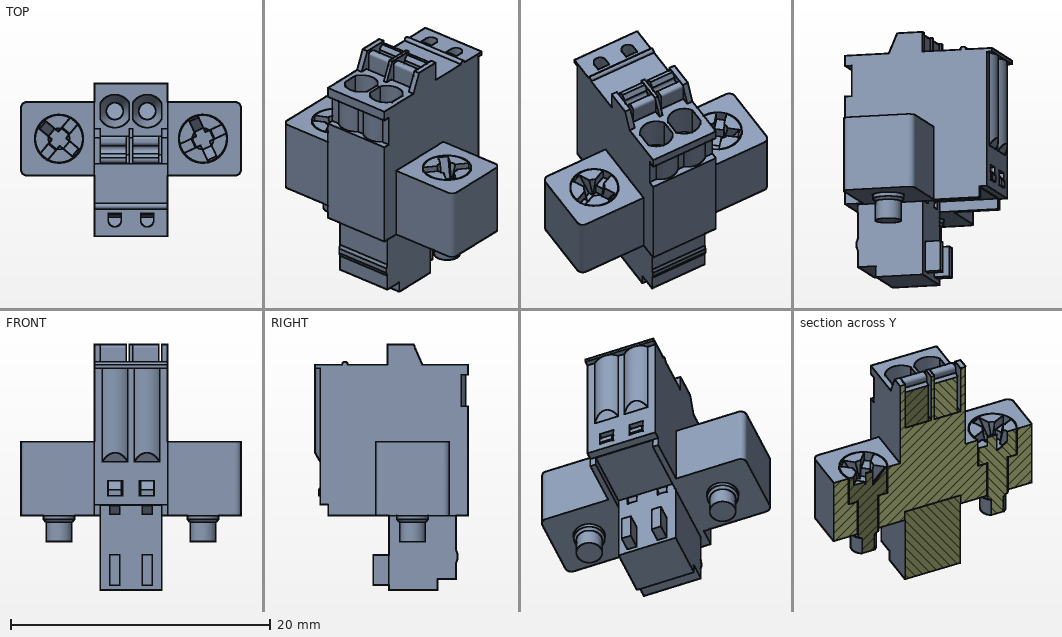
import cadquery as cq


POLE_PITCH = 2.5
POLE_XS = (-POLE_PITCH / 2, POLE_PITCH / 2)

HOUSING_WIDTH = 5.65
HOUSING_TOP = 11.65
BACK_Y = 4.28
FRONT_LIP_Y = -7.52
FRONT_Y = -7.12
LIP_THICKNESS = 0.28
STEP_Y = -6.5
STEP_HEIGHT = 0.85
BACK_NOTCH_Y = 3.74
BACK_NOTCH_BOTTOM = 8.45
BACK_NOTCH_TOP = 10.85

FIN_TOP = 13.2
FIN_FRONT_Y = -1.94
FIN_BACK_TOP_Y = 0.08
FIN_BACK_FOOT_Y = 0.76
LEVER_BAY_WIDTH = 2.22
LEVER_POCKET_BACK_Y = 0.18
LEVER_POCKET_FLOOR = 9.0
POCKET_RAMP_Y = -1.22
POCKET_RAMP_RISE = 0.3

COLUMN_PITCH = 2.45
COLUMN_XS = (-COLUMN_PITCH / 2, COLUMN_PITCH / 2)
COLUMN_WIDTH = 1.95
COLUMN_BOTTOM = 4.15
COLUMN_TAPER_HEIGHT = 0.7
BACK_COLUMN_RISE = 0.38

TOP_RIB_Y = -5.21
TOP_RIB_RADIUS = 0.22

WIRE_Y = 2.13
FUNNEL_DIAMETER = 2.55
WIRE_DIAMETER = 1.3
FUNNEL_STRAIGHT_DEPTH = 2.8
FUNNEL_TAPER_DEPTH = 1.5
WIRE_HOLE_FLOOR = 6.0

TEST_SLOT_WIDTH = 1.0
TEST_SLOT_BACK_Y = -5.74
TEST_SLOT_FRONT_Y = -6.79
TEST_SLOT_LEDGE_Y = -5.87
TEST_SLOT_VALLEY_Y = -6.04
TEST_SLOT_LEDGE_Z = 8.2
TEST_SLOT_VALLEY_Z = 7.8
TEST_SLOT_FLOOR_RISE = 0.15

WINDOW_WIDTH = 1.15
WINDOW_BOTTOM = 1.52
WINDOW_TOP = 2.68
WINDOW_DEPTH = 0.6

OVERALL_WIDTH = 17.0
FLANGE_SIZE = 5.7
FLANGE_RADIUS = 0.5

SCREW_X = 5.55
HEAD_DIAMETER = 3.65
HEAD_HEIGHT = 2.5
HEAD_BORE_DIAMETER = 3.75
COLLAR_DIAMETER = 2.4
COLLAR_BORE_DIAMETER = 2.45
COLLAR_END = -0.3
TAPER_END = -0.52
TIP_DIAMETER = 2.0
TIP_END = -2.0
DRIVE_SLOT_WIDTH = 0.77
DRIVE_SLOT_DEPTH = 0.8
CROSS_WIDTH = 0.77
CROSS_HALF_LENGTH = 1.65
WELL_FLOOR_HALF_LENGTH = 0.75
CORE_TOP_RADIUS = 0.82
CORE_BOTTOM_RADIUS = 0.55
CORE_DEPTH = 1.55
SCREW_ANGLES = {-SCREW_X: 50, SCREW_X: 25}

PLUG_WIDTH = 4.75
PLUG_TOP = 0.8
PLUG_BOTTOM = -5.75
PLUG_FRONT_Y = -1.83
PLUG_BACK_Y = 3.37
PLUG_STEP_Y = 1.93
PLUG_STEP_Z = -4.9
LATCH_RISE = 0.11
LATCH_BOTTOM = -3.65
LATCH_TOP = -2.65
LATCH_FLAT = 0.4
KEY_WIDTH = 0.77
KEY_FRONT_Y = -3.03
KEY_BOTTOM = -5.37
KEY_TOP = -3.03
RAMP_BOTTOM = 0.1
RAMP_TOP = 0.76

LEVER_WIDTH = 2.0
LEVER_FRONT_Y = -1.87
LEVER_EDGE_RADIUS = 0.28
LEVER_BACK_RADIUS = 0.22
GROOVE_EDGE_Y = -0.25
GROOVE_WALL_DROP = 0.6
GROOVE_DEPTH = 0.75
GROOVE_SLOPE_FOOT_Y = -1.14
GROOVE_SLOPE_DROP = 0.35
GROOVE_SLOPE_TOP_Y = -1.45

CONTACT_WIDTH = 1.0
CONTACT_FRONT_Y = -7.24
CONTACT_SHOULDER_Z = 2.0
CONTACT_BACK_Y = -5.5

CLAMP_WIDTH = 1.6
CLAMP_HALF_LENGTH = 0.8
CLAMP_BOTTOM = 4.5
CLAMP_CREASE_Y = 1.95
CLAMP_CREASE_Z = 5.8
CLAMP_BACK_Z = 5.5


def prism(points, width, x_center=0.0):
    """Solid with the given (y, z) outline, of the given width along X."""
    start = cq.Workplane("YZ", origin=(x_center - width / 2, 0, 0))
    return start.polyline(points).close().extrude(width)


def block(x_range, y_range, z_range):
    """Box between the given limits."""
    ranges = (x_range, y_range, z_range)
    size = [high - low for low, high in ranges]
    return cq.Workplane("XY").box(*size, centered=False).translate([low for low, high in ranges])


def disc(diameter, x, y, z_low, z_high):
    """Upright cylinder between two heights."""
    base = cq.Workplane("XY", origin=(x, y, z_low))
    return base.circle(diameter / 2).extrude(z_high - z_low)


def span(center, width):
    """Limits of a width centred on a place."""
    return center - width / 2, center + width / 2


def make_contact(x):
    slope_run = WINDOW_TOP - CONTACT_SHOULDER_Z
    outline = [
        (CONTACT_FRONT_Y, WINDOW_BOTTOM),
        (CONTACT_FRONT_Y, CONTACT_SHOULDER_Z),
        (CONTACT_FRONT_Y + slope_run, WINDOW_TOP),
        (CONTACT_BACK_Y, WINDOW_TOP),
        (CONTACT_BACK_Y, WINDOW_BOTTOM),
    ]
    return prism(outline, CONTACT_WIDTH, x)


def make_clamp(x):
    clamp_front_y = WIRE_Y - CLAMP_HALF_LENGTH
    clamp_back_y = WIRE_Y + CLAMP_HALF_LENGTH
    outline = [
        (clamp_front_y, CLAMP_BOTTOM),
        (clamp_front_y, WIRE_HOLE_FLOOR),
        (CLAMP_CREASE_Y, CLAMP_CREASE_Z),
        (clamp_back_y, CLAMP_BACK_Z),
        (clamp_back_y, CLAMP_BOTTOM),
    ]
    return prism(outline, CLAMP_WIDTH, x)


def make_lever(x):
    """Push lever that rests against the left wall of its bay; its top has a finger groove."""
    left_x = x - LEVER_BAY_WIDTH / 2
    groove_wall_y = GROOVE_EDGE_Y - LEVER_EDGE_RADIUS
    outline = (
        cq.Workplane("YZ", origin=(left_x, 0, 0))
        .moveTo(LEVER_FRONT_Y, LEVER_POCKET_FLOOR + POCKET_RAMP_RISE)
        .lineTo(LEVER_FRONT_Y, FIN_TOP - LEVER_EDGE_RADIUS)
        .radiusArc((LEVER_FRONT_Y + LEVER_EDGE_RADIUS, FIN_TOP), LEVER_EDGE_RADIUS)
        .lineTo(GROOVE_SLOPE_TOP_Y, FIN_TOP)
        .lineTo(GROOVE_SLOPE_FOOT_Y, FIN_TOP - GROOVE_SLOPE_DROP)
        .threePointArc(
            ((GROOVE_SLOPE_FOOT_Y + groove_wall_y) / 2, FIN_TOP - GROOVE_DEPTH),
            (groove_wall_y, FIN_TOP - GROOVE_WALL_DROP),
        )
        .lineTo(groove_wall_y, FIN_TOP - LEVER_EDGE_RADIUS)
        .radiusArc((GROOVE_EDGE_Y, FIN_TOP), LEVER_EDGE_RADIUS)
        .lineTo(LEVER_POCKET_BACK_Y - LEVER_BACK_RADIUS, FIN_TOP)
        .radiusArc((LEVER_POCKET_BACK_Y, FIN_TOP - LEVER_BACK_RADIUS), LEVER_BACK_RADIUS)
        .lineTo(LEVER_POCKET_BACK_Y, LEVER_POCKET_FLOOR)
        .lineTo(POCKET_RAMP_Y, LEVER_POCKET_FLOOR)
        .close()
    )
    return outline.extrude(LEVER_WIDTH)


def make_screw(x, angle):
    """Flange screw with a through slot, two sloping cross arms and a tapered core."""
    profile = [
        (0, FLANGE_SIZE),
        (HEAD_DIAMETER / 2, FLANGE_SIZE),
        (HEAD_DIAMETER / 2, FLANGE_SIZE - HEAD_HEIGHT),
        (COLLAR_DIAMETER / 2, FLANGE_SIZE - HEAD_HEIGHT),
        (COLLAR_DIAMETER / 2, COLLAR_END),
        (TIP_DIAMETER / 2, TAPER_END),
        (TIP_DIAMETER / 2, TIP_END),
        (0, TIP_END),
    ]
    screw = cq.Workplane("XZ").polyline(profile).close().revolve(360, (0, 0), (0, 1))

    slot_floor = FLANGE_SIZE - DRIVE_SLOT_DEPTH
    drive_slot = block(
        span(0, HEAD_DIAMETER), span(0, DRIVE_SLOT_WIDTH), (slot_floor, FLANGE_SIZE)
    )
    core_floor = FLANGE_SIZE - CORE_DEPTH
    well_outline = [
        (-WELL_FLOOR_HALF_LENGTH, core_floor),
        (WELL_FLOOR_HALF_LENGTH, core_floor),
        (CORE_TOP_RADIUS, slot_floor),
        (-CORE_TOP_RADIUS, slot_floor),
    ]
    slot_well = prism(well_outline, DRIVE_SLOT_WIDTH)
    slot_well = slot_well.rotate((0, 0, 0), (0, 0, 1), 90)
    cross_outline = [
        (-CROSS_HALF_LENGTH, FLANGE_SIZE),
        (CROSS_HALF_LENGTH, FLANGE_SIZE),
        (WELL_FLOOR_HALF_LENGTH, core_floor),
        (-WELL_FLOOR_HALF_LENGTH, core_floor),
    ]
    cross_arms = prism(cross_outline, CROSS_WIDTH)
    core_profile = [
        (0, core_floor),
        (CORE_BOTTOM_RADIUS, core_floor),
        (CORE_TOP_RADIUS, FLANGE_SIZE),
        (0, FLANGE_SIZE),
    ]
    core = cq.Workplane("XZ").polyline(core_profile).close().revolve(360, (0, 0), (0, 1))

    screw = screw.cut(drive_slot).cut(slot_well).cut(cross_arms).cut(core)
    return screw.rotate((0, 0, 0), (0, 0, 1), angle).translate((x, 0, 0))


def make_plug():
    latch_flat_low, latch_flat_high = span((LATCH_BOTTOM + LATCH_TOP) / 2, LATCH_FLAT)
    outline = [
        (PLUG_FRONT_Y, PLUG_TOP),
        (PLUG_FRONT_Y, PLUG_BOTTOM),
        (PLUG_STEP_Y, PLUG_BOTTOM),
        (PLUG_STEP_Y, PLUG_STEP_Z),
        (PLUG_BACK_Y, PLUG_STEP_Z),
        (PLUG_BACK_Y, LATCH_BOTTOM),
        (PLUG_BACK_Y + LATCH_RISE, latch_flat_low),
        (PLUG_BACK_Y + LATCH_RISE, latch_flat_high),
        (PLUG_BACK_Y, LATCH_TOP),
        (PLUG_BACK_Y, PLUG_TOP),
    ]
    plug = prism(outline, PLUG_WIDTH)
    ramp_depth = RAMP_TOP - RAMP_BOTTOM
    ramp_outline = [
        (PLUG_FRONT_Y, RAMP_TOP),
        (PLUG_FRONT_Y, RAMP_BOTTOM),
        (PLUG_FRONT_Y + ramp_depth, RAMP_BOTTOM),
    ]
    for x in POLE_XS:
        key = block(span(x, KEY_WIDTH), (KEY_FRONT_Y, PLUG_FRONT_Y), (KEY_BOTTOM, KEY_TOP))
        plug = plug.union(key).cut(prism(ramp_outline, KEY_WIDTH, x))
    return plug


def housing_core():
    outline = [
        (BACK_Y, 0),
        (BACK_Y, BACK_NOTCH_BOTTOM),
        (BACK_NOTCH_Y, BACK_NOTCH_BOTTOM),
        (BACK_NOTCH_Y, BACK_NOTCH_TOP),
        (BACK_Y, BACK_NOTCH_TOP),
        (BACK_Y, HOUSING_TOP),
        (FRONT_LIP_Y, HOUSING_TOP),
        (FRONT_LIP_Y, HOUSING_TOP - LIP_THICKNESS),
        (FRONT_Y, HOUSING_TOP - LIP_THICKNESS),
        (FRONT_Y, STEP_HEIGHT),
        (STEP_Y, STEP_HEIGHT),
        (STEP_Y, 0),
    ]
    core = prism(outline, HOUSING_WIDTH)
    top_rib = (
        cq.Workplane("YZ", origin=(-HOUSING_WIDTH / 2, TOP_RIB_Y, HOUSING_TOP))
        .circle(TOP_RIB_RADIUS)
        .extrude(HOUSING_WIDTH)
    )
    return core.union(top_rib)


def fins():
    """Two outer fins flush with the housing sides and one between the lever bays."""
    outline = [
        (FIN_FRONT_Y, HOUSING_TOP),
        (FIN_FRONT_Y, FIN_TOP),
        (FIN_BACK_TOP_Y, FIN_TOP),
        (FIN_BACK_FOOT_Y, HOUSING_TOP),
    ]
    outer_width = (HOUSING_WIDTH - POLE_PITCH - LEVER_BAY_WIDTH) / 2
    outer_x = (HOUSING_WIDTH - outer_width) / 2
    body = prism(outline, POLE_PITCH - LEVER_BAY_WIDTH)
    for x in (-outer_x, outer_x):
        body = body.add(prism(outline, outer_width, x))
    return body.combine()


def flanges():
    body = cq.Workplane("XY").rect(OVERALL_WIDTH, FLANGE_SIZE).extrude(FLANGE_SIZE)
    return body.edges("|Z").fillet(FLANGE_RADIUS)


def column(x, base_y, rise, z_low, z_high):
    """Rounded column that stands out from a face; a negative rise points toward -Y."""
    outline = (
        cq.Workplane("XY", origin=(x, base_y, z_low))
        .moveTo(-COLUMN_WIDTH / 2, 0)
        .threePointArc((0, rise), (COLUMN_WIDTH / 2, 0))
        .close()
    )
    return outline.extrude(z_high - z_low)


def front_column(x):
    rise = FRONT_LIP_Y - FRONT_Y
    body = column(x, FRONT_Y, rise, COLUMN_BOTTOM, HOUSING_TOP - LIP_THICKNESS)
    taper = [
        (FRONT_Y, COLUMN_BOTTOM),
        (FRONT_LIP_Y, COLUMN_BOTTOM),
        (FRONT_LIP_Y, COLUMN_BOTTOM + COLUMN_TAPER_HEIGHT),
    ]
    return body.cut(prism(taper, COLUMN_WIDTH, x))


def back_column(x):
    return column(x, BACK_NOTCH_Y, BACK_COLUMN_RISE, BACK_NOTCH_BOTTOM, BACK_NOTCH_TOP)


def wire_entry(x):
    """Wide entry with flattened sides that tapers to the wire hole."""
    taper_top = HOUSING_TOP - FUNNEL_STRAIGHT_DEPTH
    profile = [
        (0, HOUSING_TOP),
        (FUNNEL_DIAMETER / 2, HOUSING_TOP),
        (FUNNEL_DIAMETER / 2, taper_top),
        (WIRE_DIAMETER / 2, taper_top - FUNNEL_TAPER_DEPTH),
        (WIRE_DIAMETER / 2, CLAMP_BACK_Z),
        (0, CLAMP_BACK_Z),
    ]
    entry = cq.Workplane("XZ").polyline(profile).close().revolve(360, (0, 0), (0, 1))
    flats = block(
        span(0, LEVER_BAY_WIDTH), span(0, FUNNEL_DIAMETER), (CLAMP_BACK_Z, HOUSING_TOP)
    )
    return entry.intersect(flats).translate((x, WIRE_Y, 0))


def lever_pocket(x):
    """Pocket that holds the lever; its floor ramps up toward the front."""
    outline = [
        (LEVER_POCKET_BACK_Y, HOUSING_TOP),
        (LEVER_POCKET_BACK_Y, LEVER_POCKET_FLOOR),
        (POCKET_RAMP_Y, LEVER_POCKET_FLOOR),
        (LEVER_FRONT_Y, LEVER_POCKET_FLOOR + POCKET_RAMP_RISE),
        (FIN_FRONT_Y, LEVER_POCKET_FLOOR + POCKET_RAMP_RISE),
        (FIN_FRONT_Y, HOUSING_TOP),
    ]
    return prism(outline, LEVER_BAY_WIDTH, x)


def test_slot(x):
    """Slot with a round front end and a V-shaped floor."""
    round_radius = TEST_SLOT_WIDTH / 2
    round_y = TEST_SLOT_FRONT_Y + round_radius
    plan = (
        cq.Workplane("XY")
        .moveTo(-round_radius, TEST_SLOT_BACK_Y)
        .lineTo(-round_radius, round_y)
        .threePointArc((0, TEST_SLOT_FRONT_Y), (round_radius, round_y))
        .lineTo(round_radius, TEST_SLOT_BACK_Y)
        .close()
        .extrude(HOUSING_TOP)
        .translate((x, 0, 0))
    )
    side = [
        (TEST_SLOT_BACK_Y, HOUSING_TOP),
        (TEST_SLOT_BACK_Y, TEST_SLOT_LEDGE_Z),
        (TEST_SLOT_LEDGE_Y, TEST_SLOT_LEDGE_Z),
        (TEST_SLOT_VALLEY_Y, TEST_SLOT_VALLEY_Z),
        (TEST_SLOT_FRONT_Y, TEST_SLOT_VALLEY_Z + TEST_SLOT_FLOOR_RISE),
        (TEST_SLOT_FRONT_Y, HOUSING_TOP),
    ]
    return plan.intersect(prism(side, TEST_SLOT_WIDTH, x))


def window(x):
    return block(
        span(x, WINDOW_WIDTH), (FRONT_Y, FRONT_Y + WINDOW_DEPTH), (WINDOW_BOTTOM, WINDOW_TOP)
    )


def screw_bore(x):
    head_seat = FLANGE_SIZE - HEAD_HEIGHT
    shank_bore = disc(COLLAR_BORE_DIAMETER, x, 0, 0, head_seat)
    return shank_bore.union(disc(HEAD_BORE_DIAMETER, x, 0, head_seat, FLANGE_SIZE))


def make_housing():
    body = housing_core().union(fins()).union(flanges())
    for x in COLUMN_XS:
        body = body.union(front_column(x)).union(back_column(x))
    for x in COLUMN_XS:
        body = body.cut(window(x))
    for x in POLE_XS:
        body = body.cut(wire_entry(x)).cut(lever_pocket(x)).cut(test_slot(x))
        body = body.cut(make_contact(x)).cut(make_clamp(x))
    for x in SCREW_ANGLES:
        body = body.cut(screw_bore(x))
    plug_seat = block(span(0, PLUG_WIDTH), (STEP_Y, PLUG_BACK_Y), (0, PLUG_TOP))
    return body.cut(plug_seat)


housing = make_housing()
plug = make_plug()
levers = [make_lever(x) for x in POLE_XS]
contacts = [make_contact(x) for x in POLE_XS]
clamps = [make_clamp(x) for x in POLE_XS]
screws = [make_screw(x, angle) for x, angle in SCREW_ANGLES.items()]

bodies = [housing, plug, *levers, *contacts, *clamps, *screws]
result = cq.Compound.makeCompound([body.val() for body in bodies])